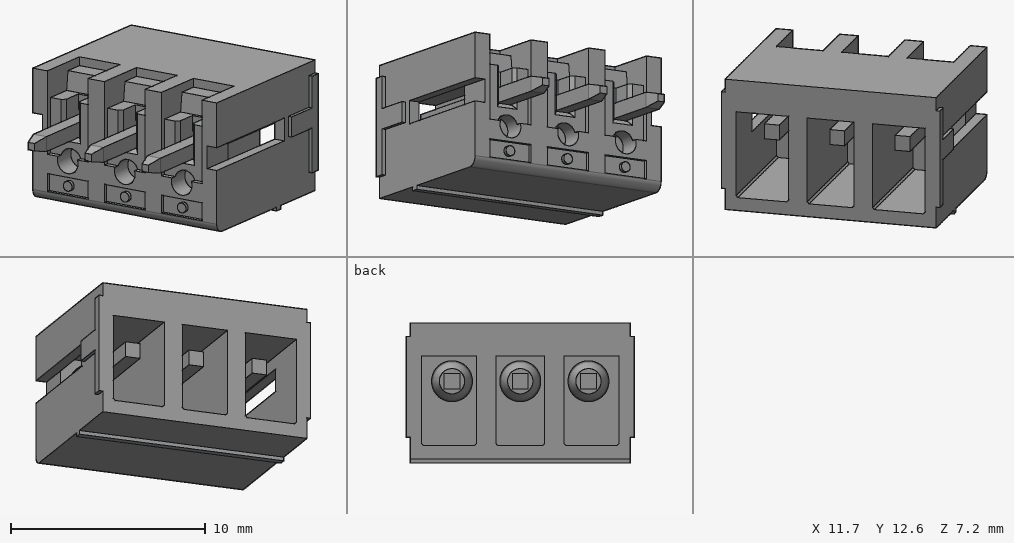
import cadquery as cq

POLES = 3
PITCH = 3.5
POLE_CENTRES = [(i - (POLES - 1) / 2) * PITCH for i in range(POLES)]

BODY_WIDTH = 11.3
BODY_DEPTH = 9.2
BODY_HEIGHT = 7.0
FRONT_RADIUS = 0.5
HALF_WIDTH = BODY_WIDTH / 2

RIB_FRONT = 5.6
RIB_DEPTH = 0.4
RIB_HEIGHT = 0.2

TAB_THICKNESS = 0.2
TAB_PLATE_DEPTH = 0.6
TAB_PLATE_Z = (1.12, 6.3)
TAB_STEM_DEPTH = 2.5
TAB_STEM_Z = (3.52, 4.6)

SIDE_SLOT_DEPTH = 0.59
SIDE_SLOT_LENGTH = 6.31
SIDE_SLOT_Z = (3.38, 4.6)

RECESS_WIDTH = 2.5
RECESS_BOTTOM_Z = 2.53
RECESS_DEPTH = 0.3
SHELF_Z = 5.5
SHELF_DEPTH = 1.8
LEDGE_Z = 6.53
LEDGE_FRONT = 1.93
LEDGE_BACK = 3.0

PIN_SIZE = 0.8
PIN_Z = 4.0
PIN_TAIL = 3.4
PIN_TIP_SIZE = 0.4
PIN_TIP_LENGTH = 0.81
PIN_END = 8.0

PIN_SLOT_BACK = 1.6
MOUTH_BEVEL = 0.2
MOUTH_BOTTOM_Z = 3.32
PIN_CLEARANCE = 0.04
LEAD_IN_HEIGHT = 0.32
LEAD_IN_DEPTH = 0.32

HOLE_DIAMETER = 1.26
HOLE_Z = 2.33
HOLE_DEPTH = 1.25
WINDOW_Z = (0.54, 1.5)
WINDOW_DEPTH = 0.2
PEG_DIAMETER = 0.53
PEG_Z = 1.02

CHAMBER_FRONT = 1.93
CHAMBER_Z = (0.7, 5.3)
CHAMBER_CHAMFER = 0.1
CHAMBER_HALF_SPAN = HALF_WIDTH - SIDE_SLOT_DEPTH
DIVIDER_THICKNESS = 1.0

COLLAR_BASE_RADIUS = 1.05
COLLAR_BASE_END = 2.28
COLLAR_NECK_RADIUS = 1.0
COLLAR_NECK_END = 2.41
COLLAR_TIP_RADIUS = 0.65
COLLAR_END = 3.25
COLLAR_BULGE = 0.05


def block(x_range, y_range, z_range):
    """Box between the given limits."""
    (x0, x1), (y0, y1), (z0, z1) = x_range, y_range, z_range
    return cq.Workplane("XY").box(x1 - x0, y1 - y0, z1 - z0, centered=False).translate((x0, y0, z0))


def centred_block(x, width, y_range, z_range):
    """Box of the given width centred on x."""
    return block((x - width / 2, x + width / 2), y_range, z_range)


def y_cylinder(x, z, diameter, depth):
    """Cylinder running rearward from the front face."""
    return cq.Workplane("XZ", origin=(x, 0, z)).circle(diameter / 2).extrude(-depth)


def make_body():
    body = centred_block(0, BODY_WIDTH, (0, BODY_DEPTH), (0, BODY_HEIGHT))
    body = body.edges("<Y and <Z").fillet(FRONT_RADIUS)
    rib = centred_block(0, BODY_WIDTH, (RIB_FRONT, RIB_FRONT + RIB_DEPTH), (-RIB_HEIGHT, FRONT_RADIUS))
    return body.union(rib)


def make_tabs():
    """T-shaped tabs of both ends, built as bars that run through the housing."""
    width = BODY_WIDTH + 2 * TAB_THICKNESS
    plate = centred_block(0, width, (BODY_DEPTH - TAB_PLATE_DEPTH, BODY_DEPTH), TAB_PLATE_Z)
    stem = centred_block(0, width, (BODY_DEPTH - TAB_STEM_DEPTH, BODY_DEPTH), TAB_STEM_Z)
    return plate.union(stem)


def make_side_slots():
    left = block((-HALF_WIDTH, -HALF_WIDTH + SIDE_SLOT_DEPTH), (0, SIDE_SLOT_LENGTH), SIDE_SLOT_Z)
    return left.union(left.mirror("YZ"))


def make_recess(x):
    profile = [
        (0, RECESS_BOTTOM_Z),
        (RECESS_DEPTH, RECESS_BOTTOM_Z),
        (RECESS_DEPTH, SHELF_Z),
        (SHELF_DEPTH, SHELF_Z),
        (LEDGE_FRONT, LEDGE_Z),
        (LEDGE_BACK, LEDGE_Z),
        (LEDGE_BACK, BODY_HEIGHT),
        (0, BODY_HEIGHT),
    ]
    start = (x - RECESS_WIDTH / 2, 0, 0)
    return cq.Workplane("YZ", origin=start).polyline(profile).close().extrude(RECESS_WIDTH)


def make_pin_slot(x):
    """Slot as wide as the pin, widening at its mouth, with a lead-in above the pin."""
    slot_bottom = PIN_Z - PIN_SIZE / 2 - PIN_CLEARANCE
    pin_top = PIN_Z + PIN_SIZE / 2
    profile = [
        (0, slot_bottom),
        (PIN_SLOT_BACK + LEAD_IN_DEPTH, slot_bottom),
        (PIN_SLOT_BACK + LEAD_IN_DEPTH, pin_top),
        (PIN_SLOT_BACK, pin_top + LEAD_IN_HEIGHT),
        (PIN_SLOT_BACK, SHELF_Z),
        (0, SHELF_Z),
    ]
    start = (x - PIN_SIZE / 2, 0, 0)
    slot = cq.Workplane("YZ", origin=start).polyline(profile).close().extrude(PIN_SIZE)

    mouth_width = PIN_SIZE + 2 * MOUTH_BEVEL
    mouth = (
        cq.Workplane("XZ", origin=(x, RECESS_DEPTH, 0))
        .center(0, (MOUTH_BOTTOM_Z + SHELF_Z) / 2)
        .rect(mouth_width, SHELF_Z - MOUTH_BOTTOM_Z)
        .workplane(offset=-MOUTH_BEVEL)
        .center(0, (slot_bottom - MOUTH_BOTTOM_Z) / 2)
        .rect(PIN_SIZE, SHELF_Z - slot_bottom)
        .loft(ruled=True)
    )
    return slot.union(mouth)


def make_window(x):
    window = centred_block(x, RECESS_WIDTH, (0, WINDOW_DEPTH), WINDOW_Z)
    return window.cut(y_cylinder(x, PEG_Z, PEG_DIAMETER, WINDOW_DEPTH))


def make_chamber(x):
    to_divider = (PITCH - DIVIDER_THICKNESS) / 2
    left = -CHAMBER_HALF_SPAN if x == POLE_CENTRES[0] else x - to_divider
    right = CHAMBER_HALF_SPAN if x == POLE_CENTRES[-1] else x + to_divider
    chamber = block((left, right), (CHAMBER_FRONT, BODY_DEPTH), CHAMBER_Z)
    return chamber.faces("<Z").edges("|Y").chamfer(CHAMBER_CHAMFER)


def make_collar(x):
    """Solid of revolution about the pin axis, with a rounded nose."""
    nose_middle = (
        (COLLAR_NECK_RADIUS + COLLAR_TIP_RADIUS) / 2 + COLLAR_BULGE,
        (COLLAR_NECK_END + COLLAR_END) / 2,
    )
    return (
        cq.Workplane("XY", origin=(x, 0, PIN_Z))
        .moveTo(0, CHAMBER_FRONT)
        .lineTo(COLLAR_BASE_RADIUS, CHAMBER_FRONT)
        .lineTo(COLLAR_BASE_RADIUS, COLLAR_BASE_END)
        .lineTo(COLLAR_NECK_RADIUS, COLLAR_NECK_END)
        .threePointArc(nose_middle, (COLLAR_TIP_RADIUS, COLLAR_END))
        .lineTo(0, COLLAR_END)
        .close()
        .revolve(360, (0, 0, 0), (0, 1, 0))
    )


def make_pin(x):
    tip_start = -PIN_TAIL + PIN_TIP_LENGTH
    shaft = centred_block(x, PIN_SIZE, (tip_start, PIN_END), (PIN_Z - PIN_SIZE / 2, PIN_Z + PIN_SIZE / 2))
    tip = (
        cq.Workplane("XZ", origin=(x, tip_start, PIN_Z))
        .rect(PIN_SIZE, PIN_SIZE)
        .workplane(offset=PIN_TIP_LENGTH)
        .rect(PIN_TIP_SIZE, PIN_TIP_SIZE)
        .loft(ruled=True)
    )
    return shaft.union(tip)


result = make_body().union(make_tabs())
for pole_x in POLE_CENTRES:
    result = result.cut(make_chamber(pole_x))
result = result.cut(make_side_slots())
for pole_x in POLE_CENTRES:
    result = result.cut(make_recess(pole_x))
    result = result.cut(make_pin_slot(pole_x))
    result = result.cut(y_cylinder(pole_x, HOLE_Z, HOLE_DIAMETER, HOLE_DEPTH))
    result = result.cut(make_window(pole_x))
    result = result.union(make_collar(pole_x))
    result = result.union(make_pin(pole_x))